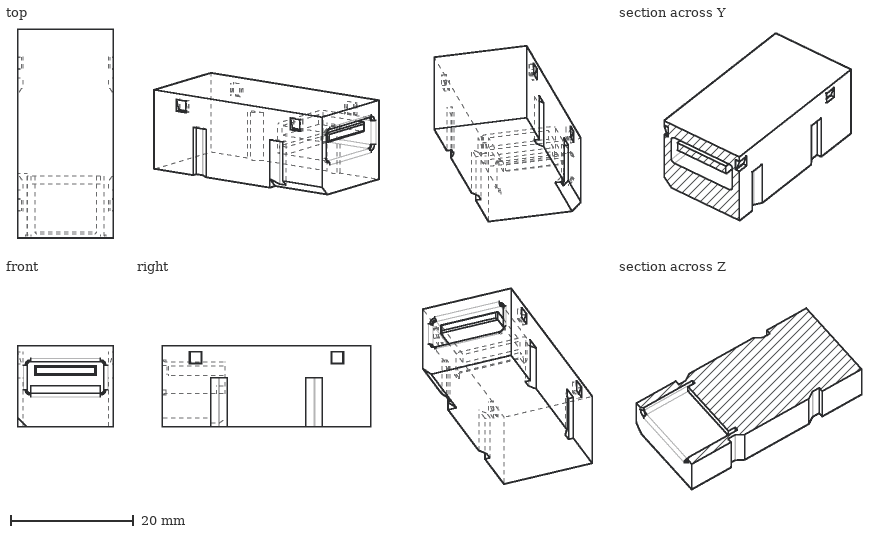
import cadquery as cq

WIDTH = 15.6
LENGTH = 34.0
HEIGHT = 13.2
FRONT_Y = -LENGTH / 2

SOCKET_Z = 8.02
SOCKET_WIDTH = 12.5
SOCKET_HEIGHT = 5.15
SOCKET_DEPTH = 10.2
SOCKET_CORNER_RADIUS = 0.58
LIP_RADIUS = 0.58
SHELL_THICKNESS = 0.27
STRAIGHT_WIDTH = SOCKET_WIDTH - 2 * SOCKET_CORNER_RADIUS
STRAIGHT_HEIGHT = SOCKET_HEIGHT - 2 * SOCKET_CORNER_RADIUS

TONGUE_WIDTH = 10.05
TONGUE_HEIGHT = 1.6
TONGUE_Z = 9.15
TONGUE_SETBACK = 0.75
TONGUE_CHAMFER = 0.27

STEP_HEIGHT = 1.22
STEP_LENGTH = 1.35

SLOT_TOP_Z = 8.0
SLOT_DEPTH = 0.85
SLOT_FILLET = 0.2
SLOT_OUTER_Y = 9.08
SLOT_FLOOR_Y = 7.75
SLOT_INNER_Y = 6.43

WINDOW_WIDTH = 2.0
WINDOW_HEIGHT = 1.95
WINDOW_Y = 11.53
WINDOW_TOP_Z = 12.17
WINDOW_DEPTH = 0.8
LATCH_GAP = 0.1
LATCH_LOW_DEPTH = 0.6

EDGE_CHAMFER = 1.5


def front_block(width, height, depth, center_z, setback=0.0):
    """Block running back from the front face, centred on X and on center_z."""
    return cq.Workplane("XY").box(width, depth, height).translate(
        (0, FRONT_Y + setback + depth / 2, center_z)
    )


def lip_cut(width, height):
    """Quarter-round flare along the two edges at +-height / 2, over the given width."""
    plane = cq.Workplane("YZ", origin=(-width / 2, FRONT_Y, 0))
    edge = height / 2
    flare = (
        plane.moveTo(0, -edge - LIP_RADIUS)
        .radiusArc((LIP_RADIUS, -edge), LIP_RADIUS)
        .lineTo(LIP_RADIUS, edge)
        .radiusArc((0, edge + LIP_RADIUS), LIP_RADIUS)
        .close()
        .extrude(width)
    )
    return flare


def corner_recesses():
    """Opening around the shell corners, leaving the four straight sides to the lips."""
    outer = front_block(
        SOCKET_WIDTH + 2 * SHELL_THICKNESS, SOCKET_HEIGHT + 2 * SHELL_THICKNESS, LIP_RADIUS, SOCKET_Z
    ).edges("|Y").fillet(SOCKET_CORNER_RADIUS + SHELL_THICKNESS)
    beside_lips = front_block(STRAIGHT_WIDTH, HEIGHT, LIP_RADIUS, SOCKET_Z)
    above_lips = front_block(WIDTH, STRAIGHT_HEIGHT, LIP_RADIUS, SOCKET_Z)
    return outer.cut(beside_lips).cut(above_lips)


def socket_cut():
    """Rounded cavity with its flared lips and corner recesses."""
    cavity = front_block(SOCKET_WIDTH, SOCKET_HEIGHT, SOCKET_DEPTH, SOCKET_Z)
    cavity = cavity.edges("|Y").fillet(SOCKET_CORNER_RADIUS)
    long_lips = lip_cut(STRAIGHT_WIDTH, SOCKET_HEIGHT).translate((0, 0, SOCKET_Z))
    short_lips = lip_cut(STRAIGHT_HEIGHT, SOCKET_WIDTH).rotate((0, 0, 0), (0, 1, 0), 90)
    short_lips = short_lips.translate((0, 0, SOCKET_Z))
    return cavity.union(long_lips).union(short_lips).union(corner_recesses())


def tongue():
    """Contact tongue with a chamfered tip, rooted in the back wall."""
    depth = SOCKET_DEPTH - TONGUE_SETBACK
    blade = front_block(TONGUE_WIDTH, TONGUE_HEIGHT, depth, TONGUE_Z, TONGUE_SETBACK)
    return blade.faces("<Y").edges().chamfer(TONGUE_CHAMFER)


def floor_step():
    """Step across the flat part of the socket floor."""
    center_z = SOCKET_Z - SOCKET_HEIGHT / 2 + STEP_HEIGHT / 2
    return front_block(STRAIGHT_WIDTH, STEP_HEIGHT, STEP_LENGTH, center_z, SOCKET_DEPTH - STEP_LENGTH)


def slot_cut():
    """Front slot of the left side."""
    outline = [
        (-WIDTH / 2, -SLOT_OUTER_Y),
        (-WIDTH / 2 + SLOT_DEPTH, -SLOT_OUTER_Y),
        (-WIDTH / 2 + SLOT_DEPTH, -SLOT_FLOOR_Y),
        (-WIDTH / 2, -SLOT_INNER_Y),
    ]
    slot = cq.Workplane("XY").polyline(outline).close().extrude(SLOT_TOP_Z)
    slope_foot = cq.selectors.NearestToPointSelector(
        (-WIDTH / 2 + SLOT_DEPTH, -SLOT_FLOOR_Y, SLOT_TOP_Z / 2)
    )
    return slot.edges(slope_foot).fillet(SLOT_FILLET)


def window_cut():
    """Front latch window of the left side, with a sloped latch standing clear of three walls."""
    side_x = -WIDTH / 2
    bottom_z = WINDOW_TOP_Z - WINDOW_HEIGHT
    latch_bottom_z = bottom_z + LATCH_GAP
    latch_outline = [
        (side_x, WINDOW_TOP_Z),
        (side_x + WINDOW_DEPTH, WINDOW_TOP_Z),
        (side_x + WINDOW_DEPTH, latch_bottom_z),
        (side_x + LATCH_LOW_DEPTH, latch_bottom_z),
    ]
    plane = cq.Workplane("XZ", origin=(0, -WINDOW_Y, 0))
    latch = plane.polyline(latch_outline).close().extrude(WINDOW_WIDTH / 2 - LATCH_GAP, both=True)
    opening = cq.Workplane("XY").box(WINDOW_DEPTH, WINDOW_WIDTH, WINDOW_HEIGHT).translate(
        (side_x + WINDOW_DEPTH / 2, -WINDOW_Y, bottom_z + WINDOW_HEIGHT / 2)
    )
    return opening.cut(latch)


def edge_chamfer_cut():
    """Corner wedge from the front face to the near slot's inner edge."""
    outline = [
        (-WIDTH / 2, 0),
        (-WIDTH / 2 + EDGE_CHAMFER, 0),
        (-WIDTH / 2, EDGE_CHAMFER),
    ]
    length = LENGTH / 2 - SLOT_INNER_Y
    plane = cq.Workplane("XZ", origin=(0, -SLOT_INNER_Y, 0))
    return plane.polyline(outline).close().extrude(length)


body = cq.Workplane("XY").box(WIDTH, LENGTH, HEIGHT, centered=(True, True, False))
body = body.cut(socket_cut()).union(tongue()).union(floor_step())

for side_feature in (slot_cut(), window_cut()):
    front_and_back = side_feature.union(side_feature.mirror("XZ"))
    body = body.cut(front_and_back).cut(front_and_back.mirror("YZ"))

result = body.cut(edge_chamfer_cut())